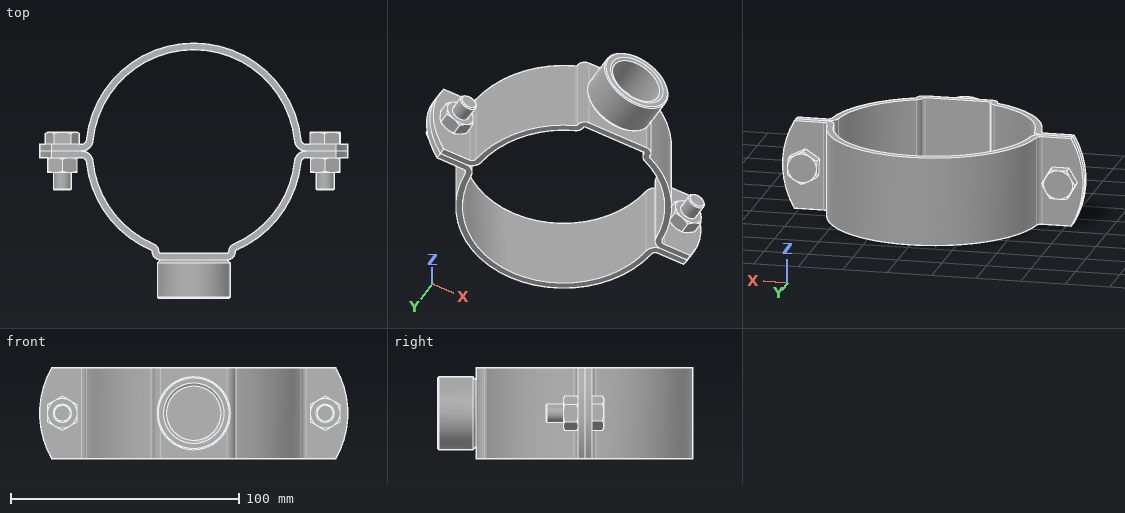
import cadquery as cq
import math


overall_length = 135.0
band_width = 40.0
band_thickness = 3.0
ring_radius = 47.2
flange_bend_radius = 2.0
flange_end_radius = band_width
seat_bend_radius = 0.7
seat_half_length = 14.6

bolt_offset = 57.5
bolt_diameter = 8.0
bolt_length = 20.1
bolt_tip_chamfer = 0.5
hex_across_flats = 13.0
head_height = 5.3
nut_height = 6.5
hex_crown_angle = 30.0
left_head_angle = 0.0
right_head_angle = 27.0
nut_angle = 30.0

socket_end = 64.5
socket_diameter = 32.0
socket_bore = 23.8
socket_base_chamfer = 1.4
socket_rim_chamfer = 0.5
socket_mouth_chamfer = 1.4
socket_mouth_depth = 0.7

flange_bend_y = band_thickness + flange_bend_radius
flange_bend_reach = ring_radius + flange_bend_radius
flange_bend_x = math.sqrt(flange_bend_reach**2 - flange_bend_y**2)
flange_bend_angle = math.degrees(math.asin(flange_bend_y / flange_bend_reach))

ring_side_bend_x = seat_half_length + 2 * seat_bend_radius + band_thickness
seat_bend_reach = ring_radius + seat_bend_radius
seat_bend_y = math.sqrt(seat_bend_reach**2 - ring_side_bend_x**2)
seat_bend_angle = math.degrees(math.acos(ring_side_bend_x / seat_bend_reach))
seat_face_y = seat_bend_y + seat_bend_radius + band_thickness

ring_middle_radius = ring_radius - band_thickness / 2
flange_bend = (
    (flange_bend_x, flange_bend_y),
    flange_bend_radius + band_thickness / 2,
    270.0,
    180.0 + flange_bend_angle,
)
seat_bend_middle_radius = seat_bend_radius + band_thickness / 2
ring_side_bend = (
    (ring_side_bend_x, seat_bend_y),
    seat_bend_middle_radius,
    180.0 + seat_bend_angle,
    180.0,
)
seat_side_bend = ((seat_half_length, seat_bend_y), seat_bend_middle_radius, 0.0, 90.0)


LEFT = 1
RIGHT = -1


def polar(centre, radius, angle):
    """Point at a distance and direction (degrees) from a centre."""
    return (
        centre[0] + radius * math.cos(math.radians(angle)),
        centre[1] + radius * math.sin(math.radians(angle)),
    )


def offset_radius(arc, side):
    """Radius of an arc offset half a thickness to the left (side 1) or right (side -1) of its travel."""
    _, middle_radius, start, end = arc
    turn = 1 if end > start else -1
    return middle_radius - side * turn * band_thickness / 2


def arc_point(arc, side, fraction):
    """Point on an offset arc at a fraction of its travel."""
    centre, _, start, end = arc
    return polar(centre, offset_radius(arc, side), start + fraction * (end - start))


def half_strip(arcs, has_seat):
    """Right half of a bent strip made of tangent arcs, from its flange to the plane X = 0."""
    flange_tip = overall_length / 2
    first, last = arcs[0], arcs[-1]
    outline = cq.Workplane("XY").moveTo(flange_tip, 0).lineTo(*arc_point(first, LEFT, 0))
    for arc in arcs:
        outline = outline.threePointArc(arc_point(arc, LEFT, 0.5), arc_point(arc, LEFT, 1))
    if has_seat:
        outline = outline.lineTo(0, seat_face_y - band_thickness).lineTo(0, seat_face_y)
    outline = outline.lineTo(*arc_point(last, RIGHT, 1))
    for arc in reversed(arcs):
        outline = outline.threePointArc(arc_point(arc, RIGHT, 0.5), arc_point(arc, RIGHT, 0))
    outline = outline.lineTo(flange_tip, band_thickness).close()
    return outline.extrude(band_width / 2, both=True)


def flange_end_envelope():
    """Block with the rounded end outline that trims both flanges."""
    half_width = band_width / 2
    tip = overall_length / 2
    corner = tip - flange_end_radius + math.sqrt(flange_end_radius**2 - half_width**2)
    return (
        cq.Workplane("XZ")
        .moveTo(-corner, -half_width)
        .lineTo(corner, -half_width)
        .threePointArc((tip, 0), (corner, half_width))
        .lineTo(-corner, half_width)
        .threePointArc((-tip, 0), (-corner, -half_width))
        .close()
        .extrude(overall_length, both=True)
    )


def make_band(arcs, has_seat):
    """Whole band on the +Y side, with rounded flange ends and a bolt hole in each flange."""
    half = half_strip(arcs, has_seat)
    band = half.union(half.mirror("YZ")).clean().intersect(flange_end_envelope())
    bolt_holes = (
        cq.Workplane("XZ")
        .pushPoints([(-bolt_offset, 0), (bolt_offset, 0)])
        .circle(bolt_diameter / 2)
        .extrude(-band_thickness)
    )
    return band.cut(bolt_holes)


def crowned_hexagon(height, corner_angle, crown_both_ends):
    """Hexagonal prism on Z = 0 whose end corners are cut by a cone that meets the flats."""
    corner_radius = hex_across_flats / math.sqrt(3)
    flat_radius = hex_across_flats / 2
    crown_drop = (corner_radius - flat_radius) * math.tan(math.radians(hex_crown_angle))
    prism = cq.Workplane("XY").polygon(6, 2 * corner_radius).extrude(height)
    blank = cq.Workplane("XY").circle(corner_radius).extrude(height)
    crowned_ends = "|Z" if crown_both_ends else ">Z"
    blank = blank.faces(crowned_ends).chamfer(crown_drop, corner_radius - flat_radius)
    return prism.intersect(blank).rotate((0, 0, 0), (0, 0, 1), corner_angle)


def make_bolt(x, head_angle):
    """Hexagon bolt pointing towards -Y, with its head seated on the +Y flange."""
    head = crowned_hexagon(head_height, head_angle, crown_both_ends=False)
    shank = cq.Workplane("XY").circle(bolt_diameter / 2).extrude(-bolt_length)
    shank = shank.faces("<Z").chamfer(bolt_tip_chamfer)
    bolt = head.union(shank)
    return bolt.rotate((0, 0, 0), (1, 0, 0), -90).translate((x, band_thickness, 0))


def make_nut(x):
    """Hexagon nut seated on the -Y flange, crowned on both ends."""
    bore = cq.Workplane("XY").circle(bolt_diameter / 2).extrude(nut_height)
    nut = crowned_hexagon(nut_height, nut_angle, crown_both_ends=True).cut(bore)
    return nut.rotate((0, 0, 0), (1, 0, 0), 90).translate((x, -band_thickness, 0))


def make_socket():
    """Round socket standing on the flat seat and opening towards -Y."""
    seat_plane = cq.Workplane("XZ", origin=(0, -seat_face_y, 0))
    length = socket_end - seat_face_y
    socket = seat_plane.circle(socket_diameter / 2).extrude(length)
    socket = socket.faces(">Y").chamfer(socket_base_chamfer)
    socket = socket.faces("<Y").chamfer(socket_rim_chamfer)
    bore = seat_plane.circle(socket_bore / 2).extrude(length)
    mouth_taper = math.degrees(math.atan(socket_mouth_chamfer / socket_mouth_depth))
    mouth = cq.Workplane("XZ", origin=(0, -socket_end, 0)).circle(socket_bore / 2 + socket_mouth_chamfer)
    mouth = mouth.extrude(-socket_mouth_depth, taper=mouth_taper)
    return socket.cut(bore).cut(mouth)


plain_ring = ((0, 0), ring_middle_radius, flange_bend_angle, 90.0)
seated_ring = ((0, 0), ring_middle_radius, flange_bend_angle, seat_bend_angle)

plain_band = make_band([flange_bend, plain_ring], has_seat=False)
seated_band = make_band([flange_bend, seated_ring, ring_side_bend, seat_side_bend], has_seat=True).mirror("XZ")
socket = make_socket()

bolts = []
nuts = []
for side, head_angle in ((-1, left_head_angle), (1, right_head_angle)):
    bolts.append(make_bolt(side * bolt_offset, head_angle))
    nuts.append(make_nut(side * bolt_offset))

result = cq.Compound.makeCompound(
    [
        plain_band.val(),
        seated_band.val(),
        socket.val(),
        *[bolt.val() for bolt in bolts],
        *[nut.val() for nut in nuts],
    ]
)